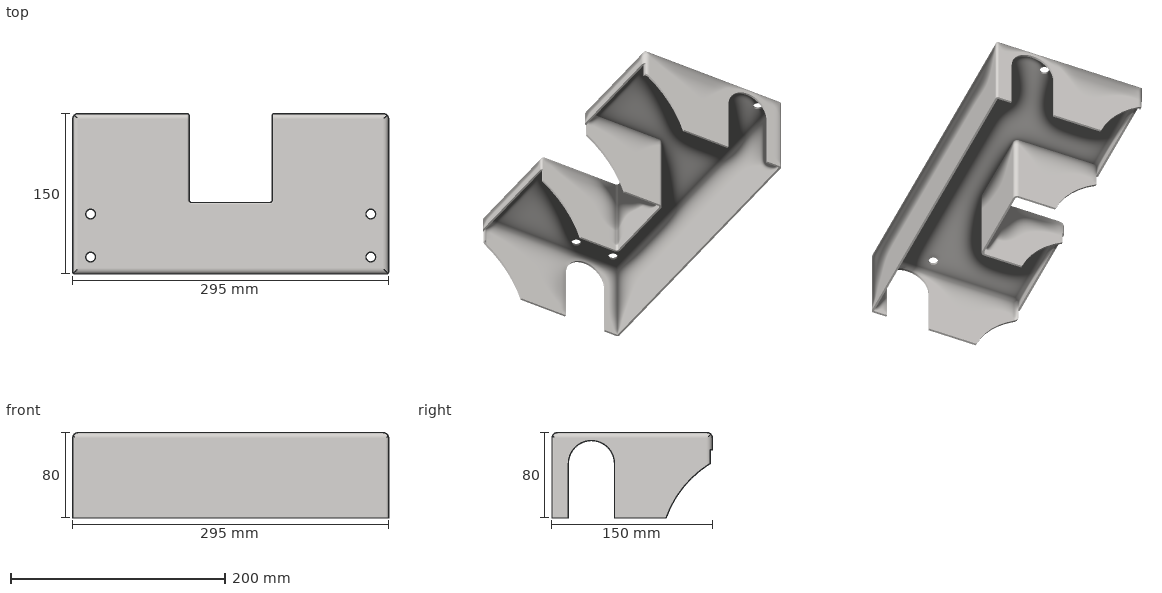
import cadquery as cq
import math

length = 295.0
depth = 150.0
height = 80.0
sheet = 2.0

bend_radius = 5.3
front_corner_radius = 2.5
notch_radius = 2.0

notch_width = 77.3
notch_front = 67.0

arch_width = 42.8
arch_center_y = 37.0
arch_top = 72.3

flange_height = 16.2
curve_top_z = 51.0
curve_bottom_y = 106.5
curve_bulge = 5.5

hole_diameter = 8.8
hole_end_inset = 16.8
hole_rows_y = (16.0, 56.0)

overshoot = 14.8


def rounded_block(inset):
    """Open-bottomed block shape, inset from the envelope, with mitred top bends."""
    width = length - 2 * inset
    span = depth - 2 * inset
    rise = height - inset
    top_radius = bend_radius - inset
    front_radius = front_corner_radius - inset

    def blank():
        return cq.Workplane("XY").box(width, span, rise, (True, False, False)).translate((0, inset, 0))

    side_bends = blank().edges("|Y and >Z").fillet(top_radius)
    front_rear_bends = blank().edges("|X and >Z").fillet(top_radius)
    corners = blank().edges("|Z and >Y").fillet(top_radius).edges("|Z and <Y").fillet(front_radius)
    return side_bends.intersect(front_rear_bends).intersect(corners)


def notch_block(offset):
    """Volume of the rear notch, enlarged by the given offset."""
    front = notch_front - offset
    return (
        cq.Workplane("XY")
        .box(notch_width + 2 * offset, depth + overshoot - front, height + overshoot, (True, False, False))
        .translate((0, front, 0))
        .edges("|Z and <Y")
        .fillet(notch_radius + offset)
    )


def notched_outer():
    """Outer skin with rounded top edges around the notch."""
    body = rounded_block(0).cut(notch_block(0))
    rim = cq.selectors.BoxSelector(
        (-notch_width / 2 - sheet, notch_front - sheet, height - sheet / 2),
        (notch_width / 2 + sheet, depth, height + sheet / 2),
    )
    return body.faces(">Z").edges(rim).fillet(notch_radius)


def arch_cutter():
    """Round-topped slot running through both ends."""
    radius = arch_width / 2
    spring_z = arch_top - radius
    return (
        cq.Workplane("YZ")
        .moveTo(arch_center_y - radius, -overshoot)
        .lineTo(arch_center_y - radius, spring_z)
        .threePointArc((arch_center_y, arch_top), (arch_center_y + radius, spring_z))
        .lineTo(arch_center_y + radius, -overshoot)
        .close()
        .extrude(length, both=True)
    )


def rear_cutter():
    """Removes the rear wall below the flange and curves the lower rear of the walls."""
    flange_inside_y = depth - sheet
    run = flange_inside_y - curve_bottom_y
    chord = math.hypot(run, curve_top_z)
    middle = (
        curve_bottom_y + run / 2 - curve_bulge * curve_top_z / chord,
        curve_top_z / 2 + curve_bulge * run / chord,
    )
    return (
        cq.Workplane("YZ")
        .moveTo(curve_bottom_y, 0)
        .threePointArc(middle, (flange_inside_y, curve_top_z))
        .lineTo(flange_inside_y, height - flange_height)
        .lineTo(depth + overshoot, height - flange_height)
        .lineTo(depth + overshoot, -overshoot)
        .lineTo(curve_bottom_y, -overshoot)
        .close()
        .extrude(length, both=True)
    )


def mounting_holes():
    """Two rows of holes, one hole near each end."""
    hole_x = length / 2 - hole_end_inset
    points = [(side * hole_x, y) for side in (-1, 1) for y in hole_rows_y]
    return (
        cq.Workplane("XY")
        .workplane(offset=height - overshoot)
        .pushPoints(points)
        .circle(hole_diameter / 2)
        .extrude(2 * overshoot)
    )


cavity = rounded_block(sheet).cut(notch_block(sheet))
cover = notched_outer().cut(cavity)
result = cover.cut(arch_cutter()).cut(rear_cutter()).cut(mounting_holes())